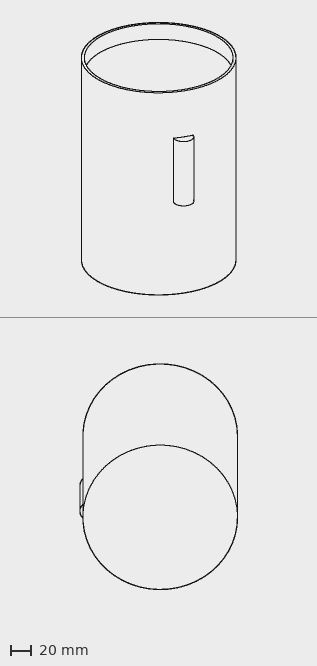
import cadquery as cq

height = 220.0
outer_diameter = 150.0
inner_diameter = 144.0
recess_depth = 17.0

bar_diameter = 20.0
bar_bottom = 100.0
bar_length = 70.0


def make_body():
    body = cq.Workplane("XY").circle(outer_diameter / 2).extrude(height)
    return body.faces(">Z").workplane().circle(inner_diameter / 2).cutBlind(-recess_depth)


def make_side_bar():
    return (
        cq.Workplane("XY", origin=(outer_diameter / 2, 0, bar_bottom))
        .circle(bar_diameter / 2)
        .extrude(bar_length)
    )


result = make_body().union(make_side_bar())